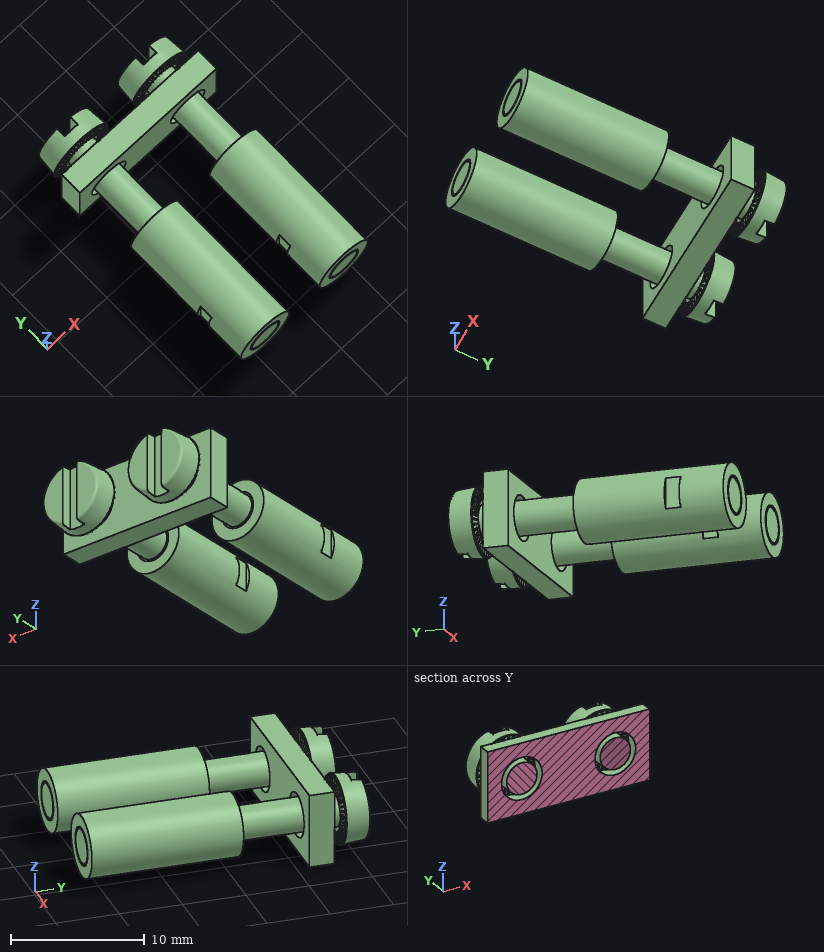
import cadquery as cq

TOTAL_LENGTH = 22.0
SCREW_PITCH = 8.15
SCREW_POSITIONS = (-SCREW_PITCH / 2, SCREW_PITCH / 2)

PLATE_WIDTH = 14.15
PLATE_HEIGHT = 6.0
PLATE_THICKNESS = 2.0
PLATE_FRONT_Y = 17.0
PLATE_HOLE_DIAMETER = 3.5

SLEEVE_DIAMETER = 5.0
SLEEVE_LENGTH = 12.0
NOTCH_DEPTH = 0.3
NOTCH_LENGTH = 1.19
NOTCH_START_Y = 3.52

THREAD_DIAMETER = 3.0
SHANK_DIAMETER = 2.68
TIP_CHAMFER = 0.13
HEAD_HEIGHT = 2.15
HEAD_TOP_DIAMETER = 5.2
HEAD_RIM_DIAMETER = 5.5
HEAD_FILLET = 0.22
SLOT_WIDTH = 1.35
SLOT_DEPTH = 0.9
HEAD_UNDERSIDE_Y = TOTAL_LENGTH - HEAD_HEIGHT

RIDGE_COUNT = 36
RIDGE_HEIGHT = 0.15
RIDGE_WIDTH = 0.1
RIDGE_INNER_RADIUS = PLATE_HOLE_DIAMETER / 2
RIM_CHAMFER = 0.07
RIDGE_OUTER_RADIUS = 2.65
HEAD_SEAT_Y = HEAD_UNDERSIDE_Y + RIDGE_HEIGHT


def rod(diameter, start_y, length):
    """Cylinder on the Y axis, running toward +Y from start_y."""
    return (
        cq.Workplane("XZ", origin=(0, start_y, 0))
        .circle(diameter / 2)
        .extrude(-length)
    )


def make_plate():
    """Flat bar with one clearance hole for each screw."""
    plate = cq.Workplane("XY").box(PLATE_WIDTH, PLATE_THICKNESS, PLATE_HEIGHT)
    plate = plate.translate((0, PLATE_FRONT_Y + PLATE_THICKNESS / 2, 0))
    for x in SCREW_POSITIONS:
        hole = rod(PLATE_HOLE_DIAMETER, PLATE_FRONT_Y, PLATE_THICKNESS)
        plate = plate.cut(hole.translate((x, 0, 0)))
    return plate


def make_sleeve():
    """Tube filled by the screw thread, with a shallow flat notch on its -X side."""
    sleeve = rod(SLEEVE_DIAMETER, 0, SLEEVE_LENGTH).cut(rod(THREAD_DIAMETER, 0, SLEEVE_LENGTH))
    notch = (
        cq.Workplane("XY")
        .box(NOTCH_DEPTH, NOTCH_LENGTH, SLEEVE_DIAMETER, centered=(False, False, True))
        .translate((-SLEEVE_DIAMETER / 2, NOTCH_START_Y, 0))
    )
    return sleeve.cut(notch)


def make_head():
    """Tapered screw head with a rounded top edge and a chamfered rim."""
    top_radius = HEAD_TOP_DIAMETER / 2
    rim_radius = HEAD_RIM_DIAMETER / 2
    head = (
        cq.Workplane("XY")
        .moveTo(0, HEAD_SEAT_Y)
        .lineTo(rim_radius - RIM_CHAMFER, HEAD_SEAT_Y)
        .lineTo(rim_radius, HEAD_SEAT_Y + RIM_CHAMFER)
        .lineTo(top_radius, TOTAL_LENGTH)
        .lineTo(0, TOTAL_LENGTH)
        .close()
        .revolve(360, (0, 0, 0), (0, 1, 0))
    )
    return head.faces(">Y").edges().fillet(HEAD_FILLET)


def make_driver_slot():
    """Cutter for the screwdriver slot, running along Z across the head."""
    return (
        cq.Workplane("XY")
        .box(SLOT_WIDTH, SLOT_DEPTH, HEAD_RIM_DIAMETER)
        .translate((0, TOTAL_LENGTH - SLOT_DEPTH / 2, 0))
    )


def make_ridges():
    """Evenly spaced radial ridges of triangular section, pointing down from the head seat."""
    ridge = (
        cq.Workplane("YZ", origin=(RIDGE_INNER_RADIUS, 0, 0))
        .moveTo(HEAD_UNDERSIDE_Y, 0)
        .lineTo(HEAD_SEAT_Y, RIDGE_WIDTH / 2)
        .lineTo(HEAD_SEAT_Y, -RIDGE_WIDTH / 2)
        .close()
        .extrude(RIDGE_OUTER_RADIUS - RIDGE_INNER_RADIUS)
    )
    step = 360 / RIDGE_COUNT
    return [
        ridge.rotate((0, 0, 0), (0, 1, 0), index * step)
        for index in range(RIDGE_COUNT)
    ]


def make_screw():
    """Slotted screw: chamfered thread inside the sleeve, thinner shank, ridged head."""
    thread = rod(THREAD_DIAMETER, 0, SLEEVE_LENGTH).faces("<Y").chamfer(TIP_CHAMFER)
    shank = rod(SHANK_DIAMETER, SLEEVE_LENGTH, HEAD_SEAT_Y - SLEEVE_LENGTH)
    head = make_head().cut(make_driver_slot())
    for ridge in make_ridges():
        head = head.union(ridge)
    return thread.union(shank).union(head)


plate = make_plate()
sleeve = make_sleeve()
screw = make_screw()

sleeves = [sleeve.translate((x, 0, 0)).val() for x in SCREW_POSITIONS]
screws = [screw.translate((x, 0, 0)).val() for x in SCREW_POSITIONS]

result = cq.Compound.makeCompound([plate.val(), *sleeves, *screws])